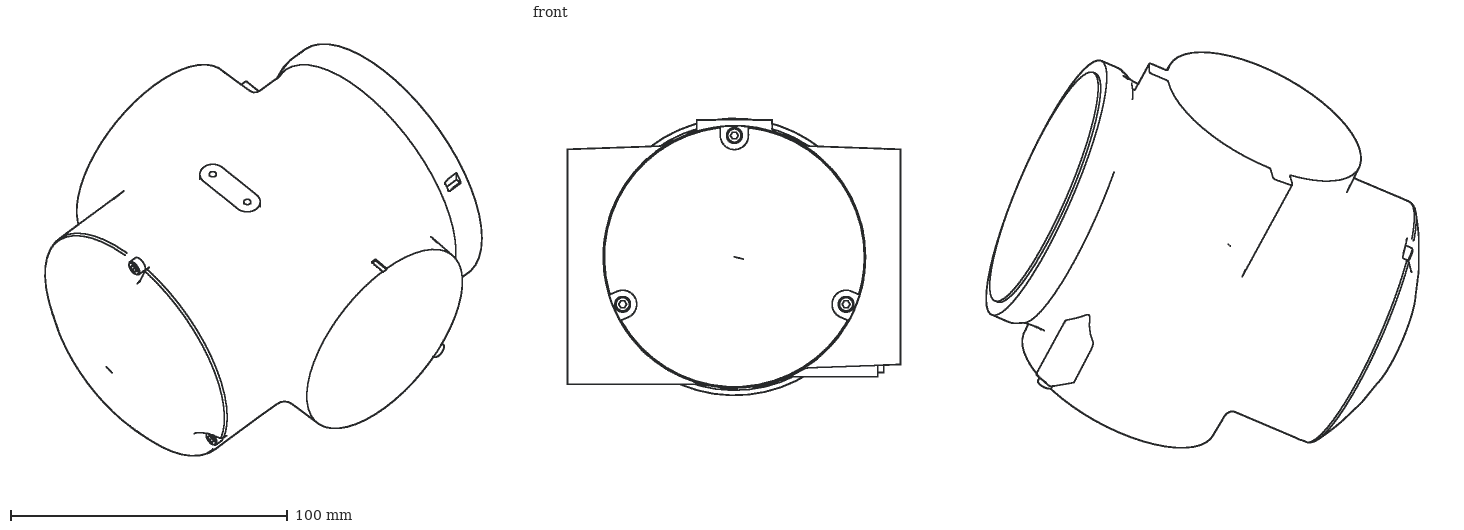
import cadquery as cq
import math

LENGTH = 140.9

BARREL_FRONT_Y = 18.9
BARREL_FRONT_RADIUS = 47.3
BARREL_REAR_Y = 124.2
BARREL_REAR_RADIUS = 47.6

FLANGE_RADIUS = 50.0
FLANGE_FRONT_Y = 133.8
FLANGE_REAR_Y = 139.9
SHOULDER_RADIUS = 49.2
SHOULDER_Y = 130.5
NECK_RADIUS = 48.2
NECK_Y = 128.6
RIM_RADIUS = 45.0

DOME_RADIUS = 46.9
DOME_Y = 14.2
COVER_EDGE_Y = 15.2
DOME_MID_RADIUS = 36.9
DOME_MID_Y = 8.2
BADGE_OUTER_RADIUS = 20.8
BADGE_OUTER_Y = 1.7
BADGE_FACE_RADIUS = 19.5
BADGE_FACE_Y = 1.1

BRANCH_Y = 81.7
BRANCH_END_RADIUS = 38.9
BRANCH_ROOT_RADIUS = 40.1
LEFT_END_X = -60.3
RIGHT_END_X = 60.0
LEFT_BRANCH_FILLET = 3.2
RIGHT_BRANCH_FILLET = 4.5

RIB_WIDTH = 7.9
RIB_REACH = 46.2
RIB_CORNER = 1.1
RIB_ROOT_FILLET = 0.8
REAR_RIB_ANGLE = 0.8
LOWER_RIB_ANGLE = 99.4
RIGHT_RIB_ANGLE = 50.0
RIGHT_RIB_REACH = 53.8
RIGHT_RIB_END_X = 51.8
LOCK_SCREW_RADIUS = 2.8
LOCK_SCREW_END_X = 54.0
LOCK_SCREW_OFFSET = 50.9

PAD_Y = 61.8
PAD_LENGTH = 27.3
PAD_WIDTH = 9.5
PAD_TOP_Z = 49.5
PAD_FILLET = 0.8
PAD_HOLE_SPACING = 18.0
PAD_HOLE_DIAMETER = 2.5
PAD_HOLE_DEPTH = 4.2

SCREW_CIRCLE_RADIUS = 43.8
SCREW_ANGLES = (90.0, 203.0, 337.0)
POCKET_RADIUS = 5.1
POCKET_FLOOR_Y = 16.9
POCKET_EDGE_FILLET = 0.5
POCKET_REGION_RADIUS = 1.3 * POCKET_RADIUS
SCREW_RADIUS = 2.8
SCREW_TOP_Y = 13.7
SCREW_CHAMFER = 0.4
SOCKET_DIAMETER = 2.8
SOCKET_DEPTH = 1.7

FLANGE_MARK_X = 40.8
FLANGE_MARK_WIDTH = 2.3
FLANGE_MARK_FRONT_Y = 131.1
FLANGE_MARK_REAR_Y = 136.9
FLANGE_MARK_FLOOR_Z = 26.5
BRANCH_MARK_WIDTH = 2.0
BRANCH_MARK_LENGTH = 5.8
BRANCH_MARK_DEPTH = 0.5


def cylinder_along_y(radius, x, z, start_y, end_y):
    """Cylinder parallel to Y between two Y stations."""
    axis = cq.Vector(0, 1, 0)
    return cq.Workplane(cq.Solid.makeCylinder(radius, end_y - start_y, cq.Vector(x, start_y, z), axis))


def revolve_about_y(profile):
    return profile.close().revolve(360, (0, 0, 0), (0, 1, 0))


def make_barrel():
    """Tapered barrel that flares into the rear flange."""
    shoulder_arc_mid = ((3 * FLANGE_RADIUS + SHOULDER_RADIUS) / 4, (FLANGE_FRONT_Y + SHOULDER_Y) / 2)
    profile = (
        cq.Workplane("XY")
        .moveTo(0, BARREL_FRONT_Y)
        .lineTo(BARREL_FRONT_RADIUS, BARREL_FRONT_Y)
        .lineTo(BARREL_REAR_RADIUS, BARREL_REAR_Y)
        .tangentArcPoint((NECK_RADIUS, NECK_Y), relative=False)
        .lineTo(SHOULDER_RADIUS, SHOULDER_Y)
        .threePointArc(shoulder_arc_mid, (FLANGE_RADIUS, FLANGE_FRONT_Y))
        .lineTo(FLANGE_RADIUS, FLANGE_REAR_Y)
        .lineTo(RIM_RADIUS, FLANGE_REAR_Y)
        .lineTo(RIM_RADIUS, LENGTH)
        .lineTo(0, LENGTH)
    )
    return revolve_about_y(profile)


def make_branch(end_x):
    """Tapered round branch from the body centre to a flat end."""
    direction = cq.Vector(math.copysign(1, end_x), 0, 0)
    origin = cq.Vector(0, BRANCH_Y, 0)
    root_x = BARREL_FRONT_RADIUS / 2
    slope = (BRANCH_ROOT_RADIUS - BRANCH_END_RADIUS) / (abs(end_x) - root_x)
    centre_radius = BRANCH_END_RADIUS + slope * abs(end_x)
    return cq.Workplane(
        cq.Solid.makeCone(centre_radius, BRANCH_END_RADIUS, abs(end_x), origin, direction)
    )


def make_housing():
    """Barrel and branches, blended where they meet."""
    housing = make_barrel()
    for end_x, blend_radius in ((LEFT_END_X, LEFT_BRANCH_FILLET), (RIGHT_END_X, RIGHT_BRANCH_FILLET)):
        housing = housing.union(make_branch(end_x))
        side_x = math.copysign(BARREL_FRONT_RADIUS, end_x)
        seam_box = cq.selectors.BoxSelector(
            (0, BRANCH_Y - BRANCH_ROOT_RADIUS, -BARREL_REAR_RADIUS),
            (side_x, BRANCH_Y + BRANCH_ROOT_RADIUS, BARREL_REAR_RADIUS),
        )
        housing = housing.edges(seam_box).fillet(blend_radius)
    return housing


def make_cover():
    """Dome with a slightly crowned badge disc at its centre."""
    profile = (
        cq.Workplane("XY")
        .moveTo(0, 0)
        .threePointArc((BADGE_FACE_RADIUS / 2, BADGE_FACE_Y / 4), (BADGE_FACE_RADIUS, BADGE_FACE_Y))
        .lineTo(BADGE_OUTER_RADIUS, BADGE_OUTER_Y)
        .threePointArc((DOME_MID_RADIUS, DOME_MID_Y), (DOME_RADIUS, DOME_Y))
        .lineTo(BARREL_FRONT_RADIUS, COVER_EDGE_Y)
        .lineTo(BARREL_FRONT_RADIUS, BARREL_FRONT_Y)
        .lineTo(0, BARREL_FRONT_Y)
    )
    return revolve_about_y(profile)


def screw_position(angle):
    """X and Z of a cover screw, its angle measured from +X towards +Z."""
    turn = math.radians(angle)
    return SCREW_CIRCLE_RADIUS * math.cos(turn), SCREW_CIRCLE_RADIUS * math.sin(turn)


def make_pocket(angle):
    """U-shaped cutter whose open side points away from the cover centre."""
    height = POCKET_FLOOR_Y
    slot = cylinder_along_y(POCKET_RADIUS, SCREW_CIRCLE_RADIUS, 0, 0, height).union(
        cq.Workplane("XY")
        .box(2 * POCKET_RADIUS, height, 2 * POCKET_RADIUS, centered=(False, False, True))
        .translate((SCREW_CIRCLE_RADIUS, 0, 0))
    )
    return slot.rotate((0, 0, 0), (0, 1, 0), -angle)


def round_pocket_edges(cover):
    """Round all edges of the screw pockets."""
    pocket_edges = []
    for edge in cover.edges().vals():
        middle = edge.positionAt(0.5)
        for angle in SCREW_ANGLES:
            x, z = screw_position(angle)
            if math.hypot(middle.x - x, middle.z - z) < POCKET_REGION_RADIUS:
                pocket_edges.append(edge)
    return cover.newObject(pocket_edges).fillet(POCKET_EDGE_FILLET)


def make_screw(angle):
    """Chamfered screw head with a hexagon socket, standing on a pocket floor."""
    x, z = screw_position(angle)
    head = cylinder_along_y(SCREW_RADIUS, x, z, SCREW_TOP_Y, BARREL_FRONT_Y)
    head = head.faces("<Y").chamfer(SCREW_CHAMFER)
    socket = (
        cq.Workplane("XZ", origin=(x, SCREW_TOP_Y, z))
        .polygon(6, SOCKET_DIAMETER)
        .extrude(-SOCKET_DEPTH)
    )
    return head.cut(socket)


def turn_about_branch(part, angle):
    """Move a part from the X axis to the branch axis and turn it from +Y down towards -Z."""
    return part.rotate((0, 0, 0), (1, 0, 0), -angle).translate((0, BRANCH_Y, 0))


def make_rib(end_x, reach, angle):
    """Bar along X from the body centre, standing out from a branch."""
    bar = (
        cq.Workplane("XY")
        .box(abs(end_x), reach, RIB_WIDTH, centered=(False, False, True))
        .edges("|X and >Y")
        .fillet(RIB_CORNER)
    )
    if end_x < 0:
        bar = bar.mirror("YZ")
    return turn_about_branch(bar, angle)


def is_rib_root(edge, angle):
    """Tell whether an edge joins the sides or top of a left rib to the branch or barrel."""
    tolerance = 0.4
    turn = math.radians(angle)
    points = [edge.positionAt(fraction) for fraction in (0, 0.5, 1)]
    on_end_face = max(point.x for point in points) < LEFT_END_X + tolerance
    along_rib = edge.geomType() == "LINE" and abs(points[0].x - points[2].x) > tolerance
    if on_end_face or along_rib:
        return False
    for point in points:
        outward = (point.y - BRANCH_Y) * math.cos(turn) - point.z * math.sin(turn)
        across = (point.y - BRANCH_Y) * math.sin(turn) + point.z * math.cos(turn)
        side_gap = RIB_WIDTH / 2 - abs(across)
        top_gap = RIB_REACH - outward
        on_rib_surface = -tolerance < min(side_gap, top_gap) < tolerance
        if point.x > 0 or outward < 0 or not on_rib_surface:
            return False
    return True


def add_left_rib(body, angle):
    body = body.union(make_rib(LEFT_END_X, RIB_REACH, angle))
    roots = [edge for edge in body.edges().vals() if is_rib_root(edge, angle)]
    return body.newObject(roots).fillet(RIB_ROOT_FILLET)


def make_lock_screw():
    """Screw head on the flat end of the right rib."""
    length = LOCK_SCREW_END_X - RIGHT_RIB_END_X
    head = (
        cq.Workplane("YZ", origin=(RIGHT_RIB_END_X, LOCK_SCREW_OFFSET, 0))
        .circle(LOCK_SCREW_RADIUS)
        .extrude(length)
    )
    return turn_about_branch(head, RIGHT_RIB_ANGLE)


def add_pad(body):
    """Slot-shaped pad with two blind holes, blended into the barrel."""
    pad = (
        cq.Workplane("XY", origin=(0, PAD_Y, 0))
        .slot2D(PAD_LENGTH, PAD_WIDTH)
        .extrude(PAD_TOP_Z)
    )
    body = body.union(pad)
    margin = 0.1
    foot_depth = 2.8
    foot_box = cq.selectors.BoxSelector(
        (-PAD_LENGTH / 2 - margin, PAD_Y - PAD_WIDTH / 2 - margin, BARREL_FRONT_RADIUS - foot_depth),
        (PAD_LENGTH / 2 + margin, PAD_Y + PAD_WIDTH / 2 + margin, BARREL_REAR_RADIUS + margin),
        boundingbox=True,
    )
    body = body.edges(foot_box).fillet(PAD_FILLET)
    holes = (
        cq.Workplane("XY", origin=(0, PAD_Y, PAD_TOP_Z))
        .rarray(PAD_HOLE_SPACING, 1.4, 2, 1)
        .circle(PAD_HOLE_DIAMETER / 2)
        .extrude(-PAD_HOLE_DEPTH)
    )
    return body.cut(holes)


def make_flange_mark():
    depth = FLANGE_MARK_REAR_Y - FLANGE_MARK_FRONT_Y
    return (
        cq.Workplane("XY")
        .box(FLANGE_MARK_WIDTH, depth, FLANGE_RADIUS, centered=(True, False, False))
        .translate((FLANGE_MARK_X, FLANGE_MARK_FRONT_Y, FLANGE_MARK_FLOOR_Z))
    )


def make_branch_mark():
    return (
        cq.Workplane("XY")
        .box(BRANCH_MARK_LENGTH, BRANCH_MARK_WIDTH, 2 * BRANCH_MARK_DEPTH)
        .translate((RIGHT_END_X - BRANCH_MARK_LENGTH / 2, BRANCH_Y, BRANCH_END_RADIUS))
    )


cover = make_cover()
for screw_angle in SCREW_ANGLES:
    cover = cover.cut(make_pocket(screw_angle))
cover = round_pocket_edges(cover)

result = add_pad(make_housing())
result = result.union(cover)
for screw_angle in SCREW_ANGLES:
    result = result.union(make_screw(screw_angle))
result = add_left_rib(result, REAR_RIB_ANGLE)
result = add_left_rib(result, LOWER_RIB_ANGLE)
result = result.union(make_rib(RIGHT_RIB_END_X, RIGHT_RIB_REACH, RIGHT_RIB_ANGLE))
result = result.union(make_lock_screw())
result = result.cut(make_flange_mark())
result = result.cut(make_branch_mark())